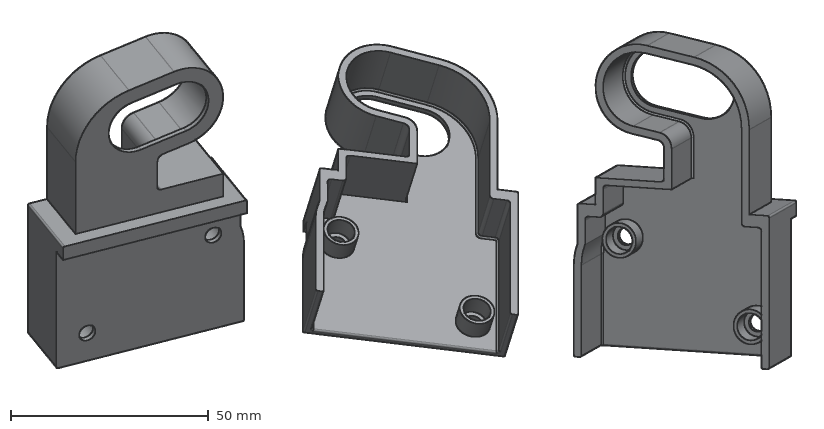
import cadquery as cq
import math

body_depth = 17.5
flange_depth = 21.5
flange_height = 4.0
wall = 2.05
floor_thickness = 1.5
floor_x = body_depth - floor_thickness
floor_chamfer = 0.5

width = 52.2
shoulder_z = 39.6
shoulder_thickness = 3.2
neck_front_y = 5.3
neck_back_y = 28.1
step_y = 46.4
step_z = 46.5
step_thickness = 1.8
upper_back_y = 51.2
bulge_start_z = 23.85
bulge_radius = 15.0
corner_radius = 0.5
inner_corner_radius = 1.0
throat_radius = 2.0

height = 81.65
tilt = math.radians(10)
loop_radius = 11.7
loop_y = step_y - loop_radius
loop_z = height - loop_radius
brow_radius = 18.0
brow_y = neck_front_y + brow_radius
brow_z = loop_z - (
    brow_radius - loop_radius + (loop_y - brow_y) * math.sin(tilt)
) / math.cos(tilt)

slot_radius = loop_radius - 2 * wall
slot_run = 12.7

boss_centers = [(43.6, 28.6), (8.6, 8.5)]
boss_radius = 4.5
boss_bore_radius = 3.5
boss_height = 5.5
screw_radius = 2.245


def polar(center_y, center_z, radius, angle):
    """Point on a circle; the angle is measured from +Y towards +Z."""
    return center_y + radius * math.cos(angle), center_z + radius * math.sin(angle)


def outline(inset, shoulder_drop, step_drop):
    """Housing outline moved inwards by inset, with its shoulders and step lowered."""
    shoulder = shoulder_z - shoulder_drop
    front = neck_front_y + inset
    back = neck_back_y - inset
    step = step_y - inset
    upper_back = upper_back_y - inset
    lower_back = width - inset

    up_normal = math.pi / 2 + tilt
    down_normal = tilt - math.pi / 2
    brow = brow_radius - inset
    loop = loop_radius - inset
    bend_middle = (math.pi + up_normal) / 2

    throat = throat_radius + inset
    throat_y = back + throat
    throat_z = loop_z + (
        (throat_y - loop_y) * math.sin(tilt) - loop - throat
    ) / math.cos(tilt)

    bulge_y = lower_back - bulge_radius
    bulge_angle = math.acos((upper_back - bulge_y) / bulge_radius)

    return (
        cq.Workplane("YZ")
        .moveTo(inset, 0)
        .lineTo(inset, shoulder)
        .lineTo(front, shoulder)
        .lineTo(front, brow_z)
        .threePointArc(
            polar(brow_y, brow_z, brow, bend_middle), polar(brow_y, brow_z, brow, up_normal)
        )
        .lineTo(*polar(loop_y, loop_z, loop, up_normal))
        .threePointArc(
            polar(loop_y, loop_z, loop, tilt), polar(loop_y, loop_z, loop, down_normal)
        )
        .lineTo(*polar(throat_y, throat_z, throat, up_normal))
        .threePointArc(
            polar(throat_y, throat_z, throat, bend_middle), (back, throat_z)
        )
        .lineTo(back, step_z - step_drop)
        .lineTo(step, step_z - step_drop)
        .lineTo(step, shoulder)
        .lineTo(upper_back, shoulder)
        .lineTo(*polar(bulge_y, bulge_start_z, bulge_radius, bulge_angle))
        .threePointArc(
            polar(bulge_y, bulge_start_z, bulge_radius, bulge_angle / 2), (lower_back, bulge_start_z)
        )
        .lineTo(lower_back, 0)
        .close()
    )


def near(solid, points):
    """Edges along X that lie closest to the given (y, z) corners."""
    edges = []
    for y, z in points:
        edges += solid.edges("|X").edges(cq.NearestToPointSelector((body_depth / 2, y, z))).vals()
    return solid.newObject(edges)


def make_shell():
    """Closed outline block with eased outer corners and the flange reaching out to +X."""
    block = outline(0, 0, 0).extrude(body_depth)
    block = near(block, [(neck_back_y, step_z)]).fillet(inner_corner_radius)
    block = near(block, [(0, 0), (width, 0)]).fillet(corner_radius)
    flange = cq.Workplane("XY").box(
        flange_depth, upper_back_y, flange_height, centered=False
    ).translate((0, 0, shoulder_z - flange_height))
    block = block.union(flange)
    return near(block, [(0, shoulder_z), (upper_back_y, shoulder_z)]).fillet(corner_radius)


def make_cavity():
    """Space inside the walls, open towards -X and at the bottom."""
    space = outline(wall, shoulder_thickness, step_thickness).extrude(floor_x)
    ceiling = shoulder_z - shoulder_thickness
    corners = [
        (wall, ceiling),
        (neck_front_y + wall, ceiling),
        (step_y - wall, step_z - step_thickness),
        (step_y - wall, ceiling),
        (upper_back_y - wall, ceiling),
    ]
    space = near(space, corners).fillet(inner_corner_radius)
    sharp_zone = cq.selectors.BoxSelector(
        (0, neck_back_y, bulge_start_z + bulge_radius / 2), (body_depth, width, step_z)
    )
    floor_edges = space.faces(">X").edges(-sharp_zone).edges("not <Z")
    return floor_edges.chamfer(floor_chamfer)


def ease_opening(shell):
    """Round the lower inside edges of the walls and of the floor."""
    inside = cq.selectors.BoxSelector(
        (wall, wall / 2, -wall), (body_depth - floor_thickness / 2, width - wall / 2, wall)
    )
    return shell.edges(inside).fillet(corner_radius)


def slot():
    """Oblong opening through the floor, concentric with the loop."""
    return (
        cq.Workplane("YZ", origin=(0, loop_y, loop_z))
        .transformed(rotate=(0, 0, math.degrees(tilt)))
        .center(-slot_run / 2, 0)
        .slot2D(slot_run + 2 * slot_radius, 2 * slot_radius)
        .extrude(body_depth)
    )


def cylinders(radius, start_x, length):
    """One cylinder along X at each screw position."""
    return (
        cq.Workplane("YZ", origin=(start_x, 0, 0))
        .pushPoints(boss_centers)
        .circle(radius)
        .extrude(length)
    )


boss_start_x = floor_x - boss_height
open_shell = make_shell().cut(make_cavity())
result = ease_opening(open_shell)
result = result.cut(slot())
result = result.union(cylinders(boss_radius, boss_start_x, boss_height))
result = result.cut(cylinders(boss_bore_radius, boss_start_x, boss_height))
result = result.cut(cylinders(screw_radius, floor_x, floor_thickness))